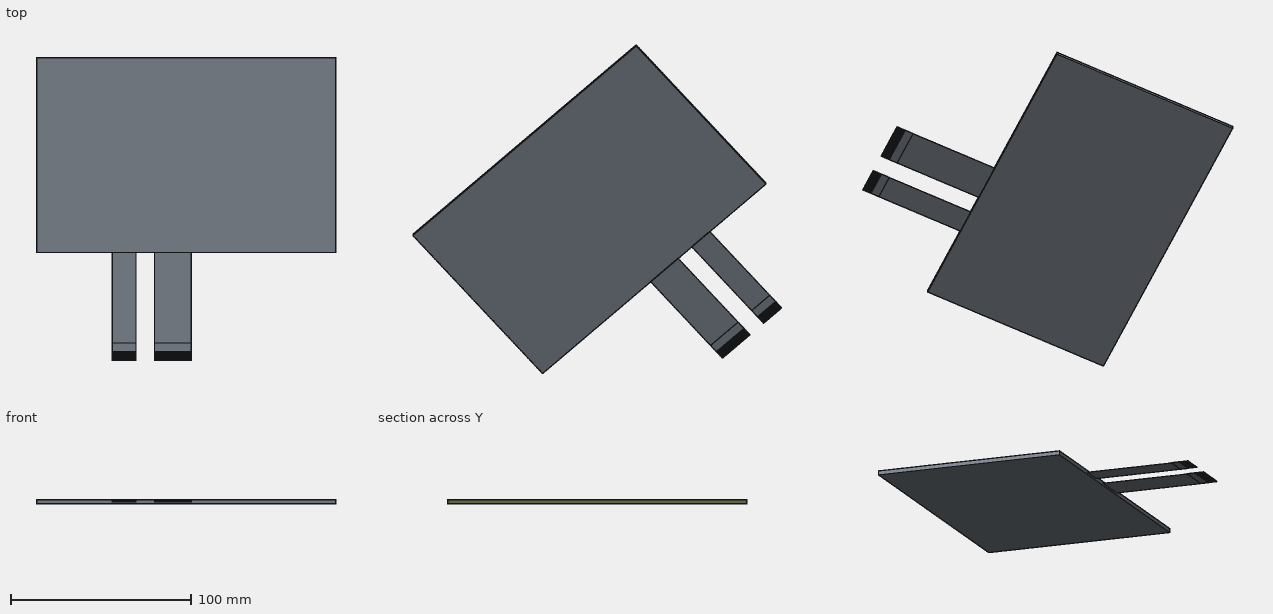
import cadquery as cq

panel_width = 166.0
panel_depth = 108.0
panel_thickness = 2.4

overall_depth = 168.0
tail_reach = overall_depth - panel_depth
film_thickness = 0.12
film_top = 0.1
narrow_tail_left = 41.8
wide_tail_left = 65.4
narrow_tail_width = 13.5
wide_tail_width = 20.5
narrow_contact_count = 26
wide_contact_count = 40

stiffener_length = 9.9
stiffener_thickness = 0.2
exposed_length = 5.0

contact_width = 0.3
contact_thickness = 0.03

panel_left = -panel_width / 2
panel_front = -panel_depth / 2
tail_end = panel_front - tail_reach


def block(left, front, bottom, width, depth, height):
    """Box placed by its left, front, bottom corner."""
    corner_box = cq.Workplane("XY").box(width, depth, height, centered=False)
    return corner_box.translate((left, front, bottom))


def ribbon_tail(left, width, contact_count):
    """Ribbon with a stiffened end and a row of contacts on the underside."""
    contact_pitch = width / (contact_count + 1)
    film_front = tail_end + exposed_length
    film_length = panel_front - film_front
    film = block(left, film_front, film_top - film_thickness, width, film_length, film_thickness)
    stiffener = block(left, tail_end, film_top, width, stiffener_length, stiffener_thickness)
    tail = film.union(stiffener)
    contact_bottom = film_top - contact_thickness
    for index in range(contact_count):
        contact_left = left + (index + 1) * contact_pitch - contact_width / 2
        contact = block(
            contact_left, tail_end, contact_bottom, contact_width, exposed_length, contact_thickness
        )
        tail = tail.union(contact)
    return tail


panel = cq.Workplane("XY").box(panel_width, panel_depth, panel_thickness)
narrow_tail = ribbon_tail(panel_left + narrow_tail_left, narrow_tail_width, narrow_contact_count)
wide_tail = ribbon_tail(panel_left + wide_tail_left, wide_tail_width, wide_contact_count)

result = panel.union(narrow_tail).union(wide_tail)